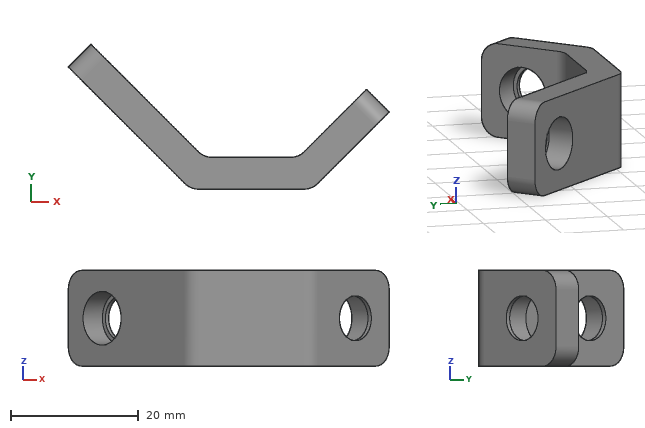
import cadquery as cq
import math

LENGTH = 50.2
DEPTH = 22.7
HEIGHT = 15.0

THICKNESS = 5.0
BASE_LENGTH = 19.0
ARM_ANGLE = 45.0
ROUND_RADIUS = 3.0

HOLE_DIAMETER = 7.05
BORE_DIAMETER = 8.4
BORE_DEPTH = 4.25
HOLE_TO_END = 7.5

slope = math.radians(ARM_ANGLE)
end_across = THICKNESS * math.sin(slope)
end_rise = THICKNESS * math.cos(slope)
inner_corner_shift = THICKNESS * math.tan(slope / 2)

left_rise = DEPTH - end_rise
left_run = left_rise / math.tan(slope)
right_run = LENGTH - BASE_LENGTH - left_run
right_rise = right_run * math.tan(slope)
left_end = (-left_run, left_rise)
right_end = (BASE_LENGTH + right_run, right_rise)


def bent_strip():
    """Extruded strip with rounded bends and rounded arm-end corners."""
    outline = [
        left_end,
        (0, 0),
        (BASE_LENGTH, 0),
        right_end,
        (right_end[0] - end_across, right_end[1] + end_rise),
        (BASE_LENGTH - inner_corner_shift, THICKNESS),
        (inner_corner_shift, THICKNESS),
        (left_end[0] + end_across, left_end[1] + end_rise),
    ]
    strip = cq.Workplane("XY").polyline(outline).close().extrude(HEIGHT)
    bends = cq.selectors.BoxSelector(
        (-THICKNESS / 2, -THICKNESS / 2, 0),
        (BASE_LENGTH + THICKNESS / 2, THICKNESS * 1.5, HEIGHT),
    )
    strip = strip.edges("|Z").edges(bends).fillet(ROUND_RADIUS)
    left_corners = strip.faces("<(1, -1, 0)").edges("<Z or >Z")
    strip = left_corners.fillet(ROUND_RADIUS)
    right_corners = strip.faces(">(1, 1, 0)").edges("<Z or >Z")
    return right_corners.fillet(ROUND_RADIUS)


def stepped_hole(outer_end, side, bore_from_outside):
    """Cutter through an arm; side is -1 for the left arm and 1 for the right."""
    inward = cq.Vector(-side * math.sin(slope), math.cos(slope), 0)
    along_arm = cq.Vector(-side * math.cos(slope), -math.sin(slope), 0)
    end = cq.Vector(outer_end[0], outer_end[1], HEIGHT / 2)
    outer_center = end + along_arm * HOLE_TO_END
    hole = cq.Solid.makeCylinder(HOLE_DIAMETER / 2, THICKNESS, outer_center, inward)
    bore_start = 0 if bore_from_outside else THICKNESS - BORE_DEPTH
    bore_center = outer_center + inward * bore_start
    bore = cq.Solid.makeCylinder(BORE_DIAMETER / 2, BORE_DEPTH, bore_center, inward)
    return hole.fuse(bore)


result = (
    bent_strip()
    .cut(stepped_hole(left_end, -1, bore_from_outside=True))
    .cut(stepped_hole(right_end, 1, bore_from_outside=False))
)